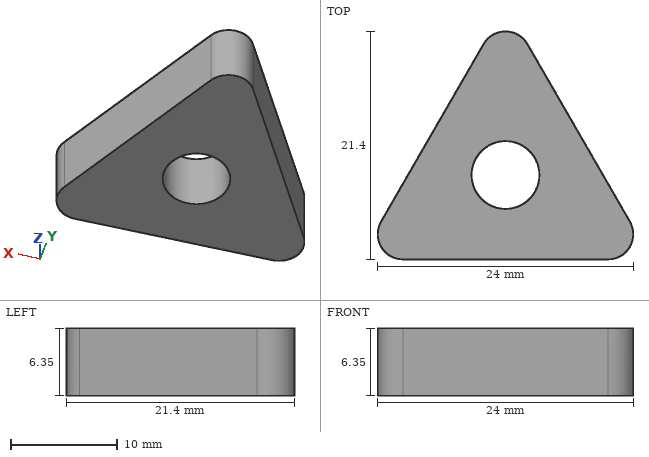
import cadquery as cq
import math

inscribed_circle_diameter = 15.875
corner_radius = 2.38125
thickness = 6.35
hole_diameter = 6.35

corner_distance = inscribed_circle_diameter
first_corner_angle = 90
corner_count = 3


def triangle_corners():
    """Sharp corners of the equilateral outline, centred on the Z axis."""
    corners = []
    for index in range(corner_count):
        angle = math.radians(first_corner_angle + index * 360 / corner_count)
        x = corner_distance * math.cos(angle)
        y = corner_distance * math.sin(angle)
        corners.append((x, y))
    return corners


def insert_body():
    """Triangular plate with rounded vertical corners."""
    plate = cq.Workplane("XY").polyline(triangle_corners()).close().extrude(thickness)
    return plate.edges("|Z").fillet(corner_radius)


def clamping_hole():
    """Central cylinder through the full thickness."""
    return cq.Workplane("XY").circle(hole_diameter / 2).extrude(thickness)


result = insert_body().cut(clamping_hole())